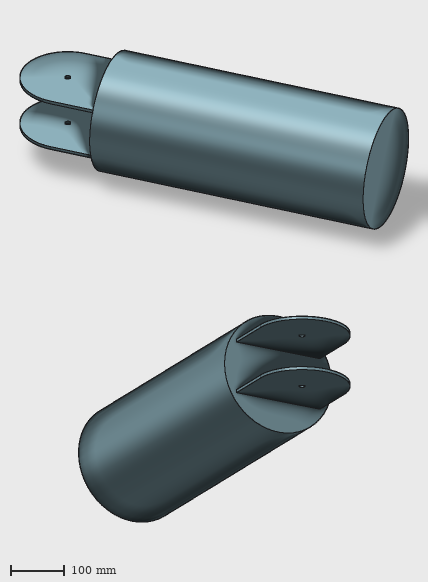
import cadquery as cq

total_length = 730.0
body_diameter = 231.5

plate_length = 179.5
plate_width = 179.5
plate_thickness = 6.0
plate_gap = 95.0
hole_diameter = 11.0

body_length = total_length - plate_length
body_face_x = -total_length / 2 + plate_length
end_radius = plate_width / 2
round_center_x = body_face_x - plate_length + end_radius


def make_body():
    """Solid cylinder lying along X."""
    return cq.Workplane("YZ", origin=(body_face_x, 0, 0)).circle(body_diameter / 2).extrude(body_length)


def make_plate(bottom_z):
    """Lug ending flush on the body face, with a pin hole centred on its rounded end."""
    return (
        cq.Workplane("XY", origin=(0, 0, bottom_z))
        .moveTo(body_face_x, -end_radius)
        .lineTo(round_center_x, -end_radius)
        .threePointArc((round_center_x - end_radius, 0), (round_center_x, end_radius))
        .lineTo(body_face_x, end_radius)
        .close()
        .moveTo(round_center_x, 0)
        .circle(hole_diameter / 2)
        .extrude(plate_thickness)
    )


result = make_body()
for plate_bottom in (plate_gap / 2, -plate_gap / 2 - plate_thickness):
    result = result.union(make_plate(plate_bottom))